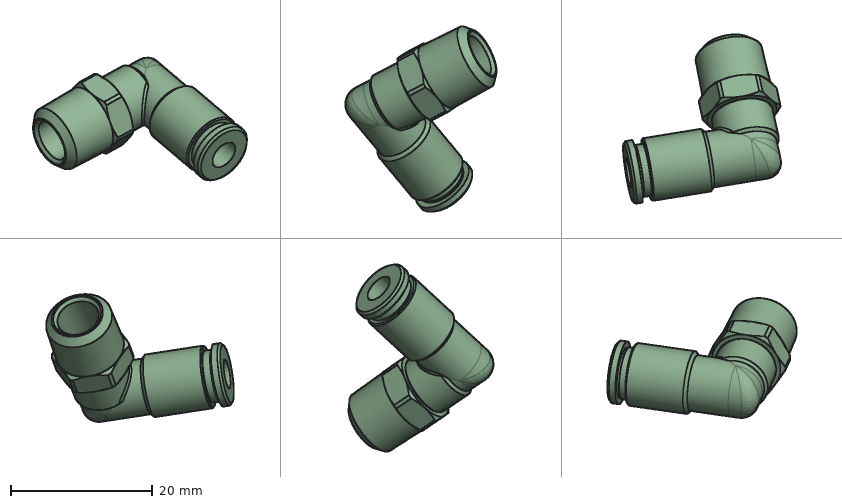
import cadquery as cq
import math


elbow_radius = 8.0 / 2
corner_radius = elbow_radius / 2

collar_radius = 8.8 / 2
collar_start = 1.1
collar_end = 6.29
collar_bevel_length = 0.46
collar_blend = 0.25
collar_foot_radius = 4.27

hex_start = 6.45
hex_end = 9.95
hex_flats = 10.0
hex_corner_radius = 5.61
hex_face_radius = hex_flats / 2
hex_bevel = (hex_corner_radius - hex_face_radius) * math.tan(math.radians(30))

stem_end = 17.5
thread_root_radius = 4.96
thread_end_radius = 4.8
thread_tip_radius = 7.5 / 2
thread_bevel = thread_end_radius - thread_tip_radius

socket_radius = 9.0 / 2
socket_start = 5.95
socket_shoulder = socket_radius - elbow_radius
socket_end = 14.95
socket_bevel = 0.2

ring_neck_radius = 7.5 / 2
ring_groove_radius = 3.6
ring_groove_start = 15.98
ring_flange_start = 16.33
ring_end = 17.59
ring_bevel = 0.35

stem_bore_radius = 6.0 / 2
stem_mouth_radius = 3.48
stem_bore_end = 6.45
drill_half_angle = 59
passage_radius = 3.2 / 2
flow_radius = 3.0 / 2
tube_radius = 4.15 / 2
tube_stop = socket_start


def stem_turning(points):
    """Revolve (radius, distance down the stem) points about the Y axis."""
    profile = [(radius, -distance) for radius, distance in points]
    return cq.Workplane("XY").polyline(profile).close().revolve(360, (0, 0), (0, 1))


def socket_turning(points):
    """Revolve (distance along the socket, radius) points about the X axis."""
    return cq.Workplane("XY").polyline(points).close().revolve(360, (0, 0), (1, 0))


def make_pipe(plane, length):
    """Elbow pipe from the origin along the plane's normal; a negative length runs backwards."""
    return cq.Workplane(plane).circle(elbow_radius).extrude(length)


def make_outer_corner():
    """Mitred outside of the elbow, with the mitre edge rounded."""
    overrun = 2 * elbow_radius
    corner = make_pipe("XZ", -overrun).intersect(make_pipe("YZ", -overrun))
    return corner.edges("%ELLIPSE").fillet(corner_radius)


def make_collar():
    return stem_turning([
        (0, collar_start),
        (elbow_radius, collar_start),
        (collar_radius, collar_start + collar_bevel_length),
        (collar_radius, collar_end),
        (collar_foot_radius, hex_start),
        (0, hex_start),
    ])


def make_hexagon():
    length = hex_end - hex_start
    across_corners = hex_flats / math.cos(math.radians(30))
    prism = cq.Workplane("XZ").workplane(offset=hex_start).polygon(6, across_corners).extrude(length)
    envelope = stem_turning([
        (0, hex_start),
        (hex_face_radius, hex_start),
        (hex_corner_radius, hex_start + hex_bevel),
        (hex_corner_radius, hex_end - hex_bevel),
        (hex_face_radius, hex_end),
        (0, hex_end),
    ])
    return prism.intersect(envelope)


def make_thread():
    return stem_turning([
        (0, hex_end),
        (thread_root_radius, hex_end),
        (thread_end_radius, stem_end - thread_bevel),
        (thread_tip_radius, stem_end),
        (0, stem_end),
    ])


def make_socket():
    return socket_turning([
        (socket_start, 0),
        (socket_start, elbow_radius),
        (socket_start + socket_shoulder, socket_radius),
        (socket_end - socket_bevel, socket_radius),
        (socket_end, socket_radius - socket_bevel),
        (socket_end, ring_neck_radius),
        (ring_groove_start, ring_neck_radius),
        (ring_groove_start, ring_groove_radius),
        (ring_flange_start, ring_groove_radius),
        (ring_flange_start, socket_radius),
        (ring_end - ring_bevel, socket_radius),
        (ring_end, socket_radius - ring_bevel),
        (ring_end, 0),
    ])


def make_stem_bore():
    """Mouth bevel, wide bore, drill-point cone and narrow passage to the socket axis."""
    cone_length = (stem_bore_radius - passage_radius) / math.tan(math.radians(drill_half_angle))
    mouth_bevel = stem_mouth_radius - stem_bore_radius
    return stem_turning([
        (0, 0),
        (passage_radius, 0),
        (passage_radius, stem_bore_end - cone_length),
        (stem_bore_radius, stem_bore_end),
        (stem_bore_radius, stem_end - mouth_bevel),
        (stem_mouth_radius, stem_end),
        (0, stem_end),
    ])


def make_socket_bore():
    """Tube pocket and the flow bore, ending level with the far wall of the stem passage."""
    return socket_turning([
        (-passage_radius, 0),
        (-passage_radius, flow_radius),
        (tube_stop, flow_radius),
        (tube_stop, tube_radius),
        (ring_end, tube_radius),
        (ring_end, 0),
    ])


def blend_collar(body):
    """Bevel the inside corner where the collar runs into the elbow's socket side."""
    inside_corner = cq.selectors.BoxSelector(
        (elbow_radius / 2, -collar_radius, -collar_radius), (2 * collar_radius, -collar_start, collar_radius)
    )
    return body.edges(inside_corner).chamfer(collar_blend)


elbow_pipes = make_pipe("XZ", collar_end).union(make_pipe("YZ", socket_start))
neck = blend_collar(elbow_pipes.union(make_collar())).union(make_outer_corner())
body = neck.union(make_hexagon()).union(make_thread()).union(make_socket())
result = body.cut(make_stem_bore()).cut(make_socket_bore())